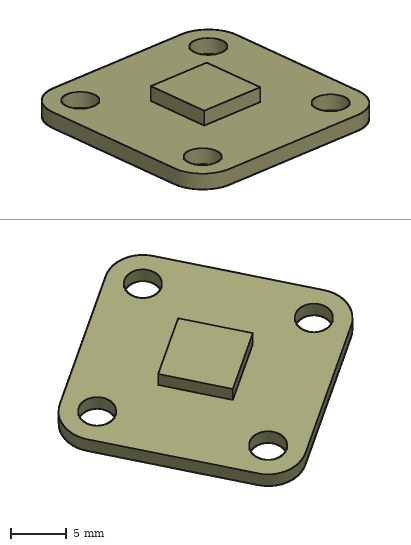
import cadquery as cq

board_side = 23.0
board_thickness = 1.6
hole_pitch = 16.0
hole_diameter = 3.45
corner_radius = (board_side - hole_pitch) / 2

total_height = 3.1
chip_side = 7.0
chip_height = total_height - board_thickness


def make_board():
    """Rounded square plate with a mounting hole through each corner."""
    plate = (
        cq.Workplane("XY")
        .rect(board_side, board_side)
        .extrude(board_thickness)
        .edges("|Z")
        .fillet(corner_radius)
    )
    return (
        plate.faces(">Z")
        .workplane()
        .rect(hole_pitch, hole_pitch, forConstruction=True)
        .vertices()
        .hole(hole_diameter)
    )


def make_chip():
    """Plain square block standing on the top face of the board."""
    return (
        cq.Workplane("XY")
        .workplane(offset=board_thickness)
        .rect(chip_side, chip_side)
        .extrude(chip_height)
    )


board = make_board()
chip = make_chip()

result = cq.Compound.makeCompound([board.val(), chip.val()])